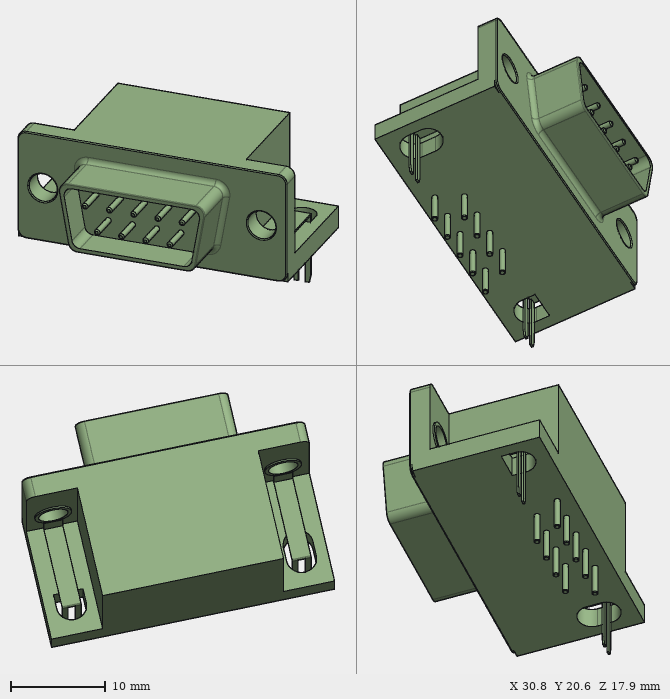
import cadquery as cq
import math


width = 30.8
height = 12.55
depth = 14.85
flange_depth = 2.35
block_width = 19.68
ledge_height = 2.53
corner_radius = 1.0

sheet_thickness = 0.3
sheet_edge_chamfer = 0.12

mount_x = 12.5
axis_z = height / 2
mount_hole_diameter = 3.2
mount_hole_chamfer = 0.12

shroud_length = 5.8
shroud_height = 7.85
shroud_top_width = 16.63
shroud_slant = 10.0
shroud_corner_radius = 1.02
shroud_wall = 0.5
shroud_root_fillet = 0.6
shroud_rim_fillet = 0.1
cavity_depth = 3.7
cavity_corner_radius = 0.92

pin_diameter = 0.65
pin_end_chamfer = 0.15
upper_pin_count = 5
lower_pin_count = 4
pin_pitch = 2.77
row_spacing = 2.83
pin_tip_setback = 0.35
tail_length = 3.85
tail_end_chamfer = 0.1
tail_row_from_back = 1.82
contact_embed = 0.3

slot_width = mount_hole_diameter
slot_center_y = depth - 3.25
slot_straight = 1.6

washer_diameter = 4.0
washer_thickness = 0.2
strap_width = 2.05
strap_thickness = 0.22
strap_proud_of_flange = 0.28
strap_proud_of_ledge = 0.22
strap_bend_radius = 0.15
strap_end_y = depth - 3.1
leg_bottom_z = -5.35
leg_gap = 0.8
leg_taper_height = 0.92
leg_taper_inset = 0.2


def box(x_range, y_range, z_range):
    """Box spanning the given (low, high) range on each axis."""
    size = [high - low for low, high in (x_range, y_range, z_range)]
    corner = (x_range[0], y_range[0], z_range[0])
    return cq.Workplane("XY").box(*size, centered=False).translate(corner)


def cylinder_y(x, z, diameter, y_start, y_end):
    """Cylinder along +Y from y_start to y_end."""
    plane = cq.Workplane("XZ", origin=(x, y_start, z))
    return plane.circle(diameter / 2).extrude(-(y_end - y_start))


def make_housing():
    """Flange, block and ledges, faced with a sheet that is rounded at all four corners."""
    half = width / 2
    flange = box((-half, half), (sheet_thickness, flange_depth), (0, height))
    flange = flange.edges("|Y and >Z").fillet(corner_radius)
    sheet = box((-half, half), (0, sheet_thickness), (0, height))
    sheet = sheet.edges("|Y").fillet(corner_radius)
    sheet = sheet.faces("<Y").chamfer(sheet_edge_chamfer)
    block = box((-block_width / 2, block_width / 2), (sheet_thickness, depth), (0, height))
    ledges = box((-half, half), (sheet_thickness, depth), (0, ledge_height))
    return flange.union(block).union(ledges).union(sheet)


def d_outline(y, inset):
    """D-shaped face outline at depth y, moved inwards by inset, with sharp corners."""
    slope = math.tan(math.radians(shroud_slant))
    lean = math.radians(90 - shroud_slant)
    arc_center_x = shroud_top_width / 2 - shroud_corner_radius
    corner_x = arc_center_x + shroud_corner_radius / math.tan(lean / 2)
    half_height = shroud_height / 2
    side_inset = inset / math.cos(math.radians(shroud_slant))
    top_x = corner_x - side_inset - inset * slope
    bottom_x = corner_x - side_inset - (shroud_height - inset) * slope
    top_z = half_height - inset
    points = [(-bottom_x, -top_z), (bottom_x, -top_z), (top_x, top_z), (-top_x, top_z)]
    return cq.Workplane("XZ", origin=(0, y, axis_z)).polyline(points).close()


def add_shroud(body):
    """Join the shroud to the sheet, blend its root and hollow it out."""
    shroud = d_outline(0, 0).extrude(shroud_length)
    shroud = shroud.edges("|Y").fillet(shroud_corner_radius)
    shroud = shroud.faces("<Y").edges().fillet(shroud_rim_fillet)
    root_zone = cq.selectors.BoxSelector(
        (-mount_x, -sheet_edge_chamfer / 2, sheet_thickness),
        (mount_x, sheet_edge_chamfer / 2, height - sheet_thickness),
        boundingbox=True,
    )
    body = body.union(shroud).edges(root_zone).fillet(shroud_root_fillet)
    cavity = d_outline(cavity_depth - shroud_length, shroud_wall).extrude(cavity_depth)
    cavity = cavity.edges("|Y").fillet(cavity_corner_radius)
    return body.cut(cavity)


def row_positions(count):
    """X places of a row of contacts centred on X = 0."""
    return [(i - (count - 1) / 2) * pin_pitch for i in range(count)]


def add_contacts(body):
    """Each contact is a mating pin inside the shroud and a solder tail under the housing."""
    tip_y = pin_tip_setback - shroud_length
    floor_y = cavity_depth - shroud_length
    back_y = depth - tail_row_from_back
    rows = [
        (upper_pin_count, axis_z + row_spacing / 2, back_y),
        (lower_pin_count, axis_z - row_spacing / 2, back_y - row_spacing),
    ]
    for count, pin_z, tail_y in rows:
        for x in row_positions(count):
            pin = cylinder_y(x, pin_z, pin_diameter, tip_y, floor_y + contact_embed)
            body = body.union(pin.faces("<Y").chamfer(pin_end_chamfer))
            tail = cq.Workplane("XY", origin=(x, tail_y, -tail_length)).circle(pin_diameter / 2)
            tail = tail.extrude(tail_length + contact_embed)
            body = body.union(tail.faces("<Z").chamfer(tail_end_chamfer))
    return body


def cut_ledge_slots(body):
    """Left slot has two round ends; the right one is square at its front end."""
    radius = slot_width / 2
    for x, front_is_round in ((-mount_x, True), (mount_x, False)):
        front_y = slot_center_y - slot_straight
        straight = box((x - radius, x + radius), (front_y, slot_center_y), (0, ledge_height))
        round_ends = [(x, slot_center_y)]
        if front_is_round:
            round_ends.append((x, front_y))
        ends = cq.Workplane("XY").pushPoints(round_ends).circle(radius).extrude(ledge_height)
        body = body.cut(straight.union(ends))
    return body


def make_board_lock(x):
    """Washer behind the flange, and a strap that runs down, back over the ledge and into two legs."""
    half = strap_width / 2
    top_z = ledge_height + strap_proud_of_ledge
    strap_underside = top_z - strap_thickness
    upright_y = flange_depth + strap_proud_of_flange
    washer = cylinder_y(x, axis_z, washer_diameter, flange_depth, flange_depth + washer_thickness)
    upright_top = axis_z - math.sqrt((washer_diameter / 2) ** 2 - half**2)
    upright = box((x - half, x + half), (flange_depth, upright_y), (ledge_height, upright_top))
    strap = box((x - half, x + half), (flange_depth, strap_end_y), (strap_underside, top_z))

    taper_z = leg_bottom_z + leg_taper_height
    leg_outline = [
        (-half, top_z),
        (-half, taper_z),
        (leg_taper_inset - half, leg_bottom_z),
        (-leg_gap / 2, leg_bottom_z),
        (-leg_gap / 2, strap_underside),
        (0, strap_underside),
        (0, top_z),
    ]
    leg_plane = cq.Workplane("XZ", origin=(x, strap_end_y, 0))
    leg = leg_plane.polyline(leg_outline).close().extrude(strap_thickness)
    legs = leg.union(leg.mirror("YZ", (x, 0, 0)))
    bent = strap.union(legs).edges("|X and >Y and >Z").fillet(strap_bend_radius)
    return washer.union(upright).union(bent)


def cut_mount_hole(body, x):
    """Hole through flange and washer, flared where it meets the mating face."""
    hole = cylinder_y(x, axis_z, mount_hole_diameter, 0, flange_depth + washer_thickness)
    mouth_radius = mount_hole_diameter / 2 + mount_hole_chamfer
    mouth = cq.Vector(x, 0, axis_z)
    inward = cq.Vector(0, 1, 0)
    flare = cq.Solid.makeCone(mouth_radius, mount_hole_diameter / 2, mount_hole_chamfer, mouth, inward)
    return body.cut(hole).cut(cq.Workplane(flare))


result = add_shroud(make_housing())
result = add_contacts(result)
result = cut_ledge_slots(result)
for mount in (-mount_x, mount_x):
    result = result.union(make_board_lock(mount))
    result = cut_mount_hole(result, mount)